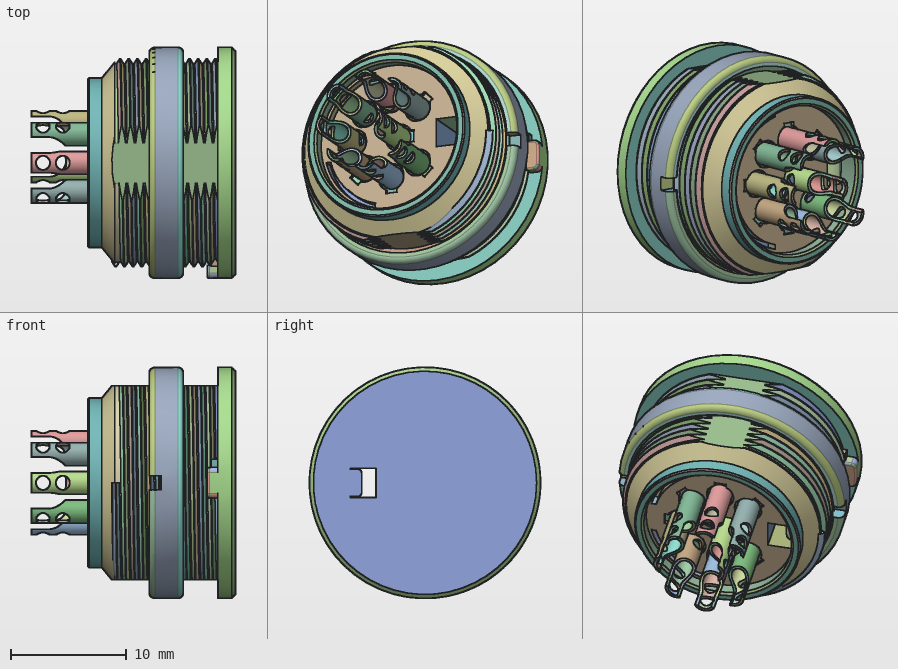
import cadquery as cq
import math


COLLAR_START = 4.88
CONE_START = 6.1
NUT_START = 10.17
NUT_LENGTH = 2.97
FLANGE_START = 16.13
TOTAL_LENGTH = 17.65
FACE_DEPTH = 1.15
INSERT_FACE = COLLAR_START + FACE_DEPTH

COLLAR_RADIUS = 14.7 / 2
COLLAR_CHAMFER = 0.13
BORE_RADIUS = 13.1 / 2
BORE_CHAMFER = 0.2
CONE_LENGTH = 1.1
CONE_END_RADIUS = 8.7
FLANGE_RADIUS = 10.0
FLANGE_CHAMFER = 0.35
ACROSS_FLATS = 16.8

THREAD_RADIUS = 9.0
THREAD_PITCH = 0.75
THREAD_ROOT_RADIUS = 8.58
THREAD_BASE_RADIUS = 8.5
THREAD_BASE_WIDTH = 0.72
THREAD_CREST_WIDTH = 0.08
THREAD_START = 7.29
REAR_THREAD_TURNS = 5.25
FRONT_THREAD_OFFSET_TURNS = 7
FRONT_THREAD_TURNS = 4.96

NUT_RADIUS = 10.0
NUT_FILLET = 0.5
NUT_BORE_RADIUS = 8.64
NUT_COUNTERSINK_RADIUS = 18.3 / 2
NUT_SLOT_WIDTH = 1.2
NUT_SLOT_DEPTH = 1.05

KEY_HALF_WIDTH = 1.33
KEY_LENGTH = 0.95
KEY_BOTTOM = 8.85
KEY_SIDE_FILLET = 0.45
KEY_REAR_FILLET = 0.2
STOP_DEPTH = 0.7
STOP_LENGTH = 0.6
STOP_TOP = 2.05
STOP_RADIUS = 8.95

PIN_CIRCLE_RADIUS = 3.5
PIN_COUNT_ON_GRID = 8
OFFSET_PIN_Y = -0.7
PIN_RADIUS = 1.0
CUP_RADIUS = 0.75
CUP_DEPTH = 6.0
CUP_WALL_HEIGHT = 0.5
CUP_CUT_RADIUS = 1.5
CUP_FLAT_LENGTH = 1.5
WIRE_HOLE_RADIUS = 0.6
WIRE_HOLES_X = (1.0, 2.72)
VENT_HOLE_RADIUS = 0.5
VENT_HOLE_X = 5.4
POCKET_RADIUS = 1.2
POCKET_DEPTH = 0.35
POCKET_NOTCH_WIDTH = 1.05
POCKET_NOTCH_REACH = 1.43

WINDOW_WIDTH = 2.5
WINDOW_INNER_Y = 4.24
TONGUE_WIDTH = 2.4
TONGUE_INNER_Y = 5.45
TONGUE_SETBACK = 1.0
TONGUE_NOSE_RADIUS = 0.9
TONGUE_CORNER_RADIUS = 0.4
RECESS_INNER_RADIUS = 5.87
RECESS_OUTER_RADIUS = 6.27
RECESS_MARGIN = 1.5
RECESS_DEPTH = 1.0


def cylinder_x(radius, start, end, y=0.0, z=0.0):
    """Cylinder along X between two positions."""
    return cq.Workplane("YZ", origin=(start, y, z)).circle(radius).extrude(end - start)


def block(x_range, y_range, z_range):
    """Box given by its limits along each axis."""
    size = [high - low for low, high in (x_range, y_range, z_range)]
    corner = (x_range[0], y_range[0], z_range[0])
    return cq.Workplane("XY").box(*size, centered=False).translate(corner)


def revolve_x(points):
    """Turn a closed (x, radius) outline around the X axis."""
    return cq.Workplane("XY").polyline(points).close().revolve(360, (0, 0, 0), (1, 0, 0))


def thread_ridge(start, turns):
    """Right-hand thread ridge that starts on the -Y side."""
    base_half = THREAD_BASE_WIDTH / 2
    crest_half = THREAD_CREST_WIDTH / 2
    helix = cq.Wire.makeHelix(THREAD_PITCH, THREAD_PITCH * turns, THREAD_BASE_RADIUS)
    ridge = (
        cq.Workplane("XZ")
        .polyline(
            [
                (THREAD_BASE_RADIUS, -base_half),
                (THREAD_RADIUS, -crest_half),
                (THREAD_RADIUS, crest_half),
                (THREAD_BASE_RADIUS, base_half),
            ]
        )
        .close()
        .sweep(cq.Workplane(helix), isFrenet=True)
    )
    ridge = ridge.rotate((0, 0, 0), (0, 1, 0), 90).rotate((0, 0, 0), (1, 0, 0), -90)
    return ridge.translate((start, 0, 0))


def between_flats(body):
    """The part of a body that lies between the two wrench flats."""
    half_flats = ACROSS_FLATS / 2
    flats = block(
        (CONE_START, TOTAL_LENGTH),
        (-FLANGE_RADIUS, FLANGE_RADIUS),
        (-half_flats, half_flats),
    )
    return body.intersect(flats)


def threaded_barrel():
    """Flatted barrel, threaded on both sides of the nut and plain under the middle of the nut."""
    middle = NUT_START + NUT_LENGTH / 2
    cone = revolve_x(
        [
            (CONE_START, 0),
            (CONE_START, COLLAR_RADIUS),
            (CONE_START + CONE_LENGTH, CONE_END_RADIUS),
            (CONE_START + CONE_LENGTH, 0),
        ]
    )
    rear = cone.union(cylinder_x(THREAD_ROOT_RADIUS, CONE_START + CONE_LENGTH, middle))
    rear = rear.union(thread_ridge(THREAD_START, REAR_THREAD_TURNS))
    front = cylinder_x(THREAD_ROOT_RADIUS, middle, FLANGE_START)
    front_start = THREAD_START + FRONT_THREAD_OFFSET_TURNS * THREAD_PITCH
    front = front.union(thread_ridge(front_start, FRONT_THREAD_TURNS))
    return between_flats(rear).union(between_flats(front))


def collar():
    """Plain solder-side collar."""
    body = cylinder_x(COLLAR_RADIUS, COLLAR_START, CONE_START)
    return body.faces("<X").chamfer(COLLAR_CHAMFER)


def solder_side_bore():
    """Chamfered bore that leads to the insert face."""
    return revolve_x(
        [
            (COLLAR_START, 0),
            (COLLAR_START, BORE_RADIUS + BORE_CHAMFER),
            (COLLAR_START + BORE_CHAMFER, BORE_RADIUS),
            (INSERT_FACE, BORE_RADIUS),
            (INSERT_FACE, 0),
        ]
    )


def flange():
    """Front flange with a chamfered outer edge."""
    body = cylinder_x(FLANGE_RADIUS, FLANGE_START, TOTAL_LENGTH)
    return body.faces(">X").chamfer(FLANGE_CHAMFER)


def locating_key():
    """Key behind the flange on the -Y side and the stop beside it that ends the thread."""
    key_start = FLANGE_START - KEY_LENGTH
    key = block(
        (key_start, FLANGE_START),
        (-FLANGE_RADIUS, -KEY_BOTTOM),
        (-KEY_HALF_WIDTH, KEY_HALF_WIDTH),
    )
    key = key.intersect(cylinder_x(FLANGE_RADIUS, key_start, FLANGE_START))
    key = key.edges("|X").edges("<Y").fillet(KEY_SIDE_FILLET)
    key = key.faces("<X").edges().edges("not >Y").fillet(KEY_REAR_FILLET)
    stop = block(
        (FLANGE_START - STOP_LENGTH, FLANGE_START),
        (-STOP_RADIUS, STOP_DEPTH - STOP_RADIUS),
        (0, STOP_TOP),
    )
    return key.union(stop)


def nut():
    """Round nut with rounded rims, a countersunk bore and two spanner slots."""
    nut_end = NUT_START + NUT_LENGTH
    body = cylinder_x(NUT_RADIUS, NUT_START, nut_end).faces("<X or >X").edges().fillet(NUT_FILLET)
    countersink = NUT_COUNTERSINK_RADIUS - NUT_BORE_RADIUS
    bore = revolve_x(
        [
            (NUT_START, 0),
            (NUT_START, NUT_COUNTERSINK_RADIUS),
            (NUT_START + countersink, NUT_BORE_RADIUS),
            (nut_end - countersink, NUT_BORE_RADIUS),
            (nut_end, NUT_COUNTERSINK_RADIUS),
            (nut_end, 0),
        ]
    )
    slots = block(
        (NUT_START, NUT_START + NUT_SLOT_DEPTH),
        (-NUT_RADIUS, NUT_RADIUS),
        (-NUT_SLOT_WIDTH / 2, NUT_SLOT_WIDTH / 2),
    )
    return body.cut(bore).cut(slots)


def pin_places():
    """(y, z, angle) of each contact; the angle is the direction of its cup wall."""
    step = 360 / PIN_COUNT_ON_GRID
    places = [(OFFSET_PIN_Y, 0.0, 180.0)]
    for index in range(PIN_COUNT_ON_GRID):
        angle = index * step
        if angle == 180:
            continue
        y = PIN_CIRCLE_RADIUS * math.cos(math.radians(angle))
        z = PIN_CIRCLE_RADIUS * math.sin(math.radians(angle))
        places.append((y, z, angle))
    return places


def place(shape, y, z, angle):
    """Turn a shape built around the X axis and move it to a contact position."""
    return shape.rotate((0, 0, 0), (1, 0, 0), angle).translate((0, y, z))


def solder_cup():
    """Contact around the X axis, cut open so that its cup wall is on the +Y side."""
    pin = cylinder_x(PIN_RADIUS, 0, INSERT_FACE + POCKET_DEPTH)
    pin = pin.cut(cylinder_x(CUP_RADIUS, 0, CUP_DEPTH))
    curve_end_y = CUP_WALL_HEIGHT - CUP_CUT_RADIUS
    opening = (
        cq.Workplane("XY")
        .moveTo(0, CUP_WALL_HEIGHT)
        .lineTo(CUP_FLAT_LENGTH, CUP_WALL_HEIGHT)
        .radiusArc((CUP_FLAT_LENGTH + CUP_CUT_RADIUS, curve_end_y), CUP_CUT_RADIUS)
        .lineTo(0, curve_end_y)
        .close()
        .extrude(PIN_RADIUS, both=True)
    )
    pin = pin.cut(opening)
    for x in WIRE_HOLES_X:
        pin = pin.cut(cq.Workplane("XZ", origin=(x, 0, 0)).circle(WIRE_HOLE_RADIUS).extrude(-PIN_RADIUS))
    vent = cq.Workplane("XZ", origin=(VENT_HOLE_X, 0, 0)).circle(VENT_HOLE_RADIUS).extrude(PIN_RADIUS)
    return pin.cut(vent)


def contact_pocket():
    """Round pocket with a square notch toward +Y."""
    end = INSERT_FACE + POCKET_DEPTH
    half_notch = POCKET_NOTCH_WIDTH / 2
    notch = block((INSERT_FACE, end), (0, POCKET_NOTCH_REACH), (-half_notch, half_notch))
    return cylinder_x(POCKET_RADIUS, INSERT_FACE, end).union(notch)


def insert_recesses():
    """Two ring-shaped recesses near the rim of the insert on the +Y side."""
    end = INSERT_FACE + RECESS_DEPTH
    ring = cylinder_x(RECESS_OUTER_RADIUS, INSERT_FACE, end)
    ring = ring.cut(cylinder_x(RECESS_INNER_RADIUS, INSERT_FACE, end))
    corner = block((INSERT_FACE, end), (RECESS_MARGIN, BORE_RADIUS), (RECESS_MARGIN, BORE_RADIUS))
    return ring.intersect(corner.union(corner.mirror("XY")))


def window():
    """Opening right through the insert, less the coding tongue that stays on its outer side."""
    half_width = WINDOW_WIDTH / 2
    opening = block((INSERT_FACE, TOTAL_LENGTH), (-BORE_RADIUS, -WINDOW_INNER_Y), (-half_width, half_width))
    opening = opening.intersect(cylinder_x(BORE_RADIUS, INSERT_FACE, TOTAL_LENGTH))
    half_tongue = TONGUE_WIDTH / 2
    tongue = block(
        (INSERT_FACE + TONGUE_SETBACK, TOTAL_LENGTH),
        (-BORE_RADIUS, -TONGUE_INNER_Y),
        (-half_tongue, half_tongue),
    )
    long_edges_rounded = tongue.edges("|X and >Y").fillet(TONGUE_CORNER_RADIUS)
    nose_rounded = tongue.edges("<X and >Y").fillet(TONGUE_NOSE_RADIUS)
    return opening.cut(long_edges_rounded.intersect(nose_rounded))


shell = threaded_barrel().union(collar()).union(flange()).union(locating_key())
shell = shell.cut(solder_side_bore()).cut(insert_recesses()).cut(window())
for pin_y, pin_z, pin_angle in pin_places():
    shell = shell.cut(place(contact_pocket(), pin_y, pin_z, pin_angle))
for pin_y, pin_z, pin_angle in pin_places():
    shell = shell.union(place(solder_cup(), pin_y, pin_z, pin_angle))

result = shell.union(nut())